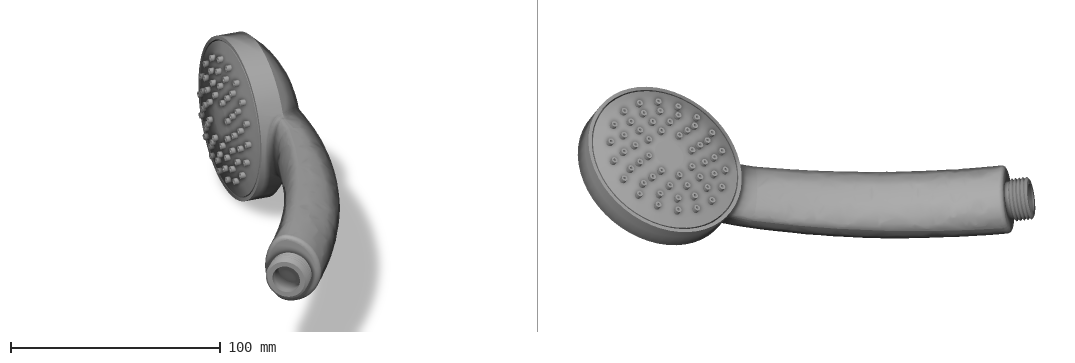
import cadquery as cq
import math

HEAD_DIAMETER = 80.2
HEAD_RADIUS = HEAD_DIAMETER / 2
BAND_HEIGHT = 12.5
DOME_HEIGHT = 19.7
HEAD_HEIGHT = BAND_HEIGHT + DOME_HEIGHT
DOME_SPHERE_RADIUS = (HEAD_RADIUS**2 + DOME_HEIGHT**2) / (2 * DOME_HEIGHT)
DOME_CENTRE_Y = HEAD_HEIGHT - DOME_SPHERE_RADIUS

PLATE_GAP = 0.7
RIM_WALL = 1.7
RECESS_RADIUS = HEAD_RADIUS - RIM_WALL
RECESS_DEPTH = 3.3
PLATE_RADIUS = RECESS_RADIUS - PLATE_GAP
PLATE_SPHERE_RADIUS = 142.1
PLATE_FLAT_RADIUS = 7.5

NOZZLE_RADIUS = 1.5
NOZZLE_HEIGHT = 2.2
NOZZLE_ROOT = 2.2
OUTLET_RADIUS = 0.7
OUTLET_DEPTH = NOZZLE_HEIGHT
NOZZLE_RINGS = [
    (12.2, 8, 0.5),
    (18.1, 12, 0.0),
    (24.0, 16, 0.5),
    (30.0, 18, 0.0),
]

NECK_START = (4.4, 12.0, 0.0, 19.0, 5.7, 14.9)
NECK_MIDDLE = (27.3, 12.0, 0.0, 18.8, 5.7, 15.0)
GRIP_START = (50.0, 10.3, 0.0, 18.1, 6.1, 15.3)
GRIP_MIDDLE = (105.5, -7.2, 18.5, 19.5, 7.5, 16.5)
GRIP_END = (162.7, -36.7, 37.0, 16.5, 11.2, 17.3)
NECK_FILLET = 2.2
GRIP_END_FILLET = 2.0

THREAD_RADIUS = 10.3
THREAD_ROOT_RADIUS = 9.2
THREAD_PITCH = 1.81
THREAD_RIDGES = 5
THREAD_RELIEF = 1.85
STUB_LENGTH = THREAD_RELIEF + THREAD_RIDGES * THREAD_PITCH
STUB_ROOT = 2.2
BORE_RADIUS = 6.8
BORE_DEPTH = STUB_LENGTH


def handle_section(station):
    """Egg-shaped wire: two half ellipses of different height that share their widest line."""
    x, y, tilt, upper, lower, half_width = station
    angle = math.radians(tilt)
    axis = cq.Vector(math.cos(angle), -math.sin(angle), 0)
    plane = cq.Plane(origin=cq.Vector(x, y, 0), xDir=cq.Vector(0, 0, -1), normal=axis)
    return (
        cq.Workplane(plane)
        .moveTo(half_width, 0)
        .ellipseArc(half_width, upper, 0, 180, startAtCurrent=True)
        .ellipseArc(half_width, lower, 180, 360, startAtCurrent=True)
        .close()
        .val()
    )


def loft_handle(*stations):
    return cq.Workplane(cq.Solid.makeLoft([handle_section(station) for station in stations]))


def revolve_about_head(profile):
    return profile.close().revolve(360, (0, 0, 0), (0, 1, 0))


def join_neck(core):
    """Core of the head joined to the neck, with a fillet along the line where they meet."""
    joined = core.union(loft_handle(NECK_START, NECK_MIDDLE, GRIP_START))
    junction = cq.selectors.BoxSelector(
        (NECK_START[0], 2.2, -HEAD_RADIUS),
        (GRIP_START[0] - NECK_FILLET, HEAD_HEIGHT, HEAD_RADIUS),
    )
    return joined.edges(junction).fillet(NECK_FILLET)


def make_head():
    """Cylindrical band below and spherical dome above, each blended into the neck."""
    column_height = 2 * HEAD_HEIGHT
    column = revolve_about_head(
        cq.Workplane("ZY")
        .lineTo(HEAD_RADIUS, 0)
        .lineTo(HEAD_RADIUS, column_height)
        .lineTo(0, column_height)
    )
    ball = revolve_about_head(
        cq.Workplane("ZY")
        .moveTo(0, DOME_CENTRE_Y - DOME_SPHERE_RADIUS)
        .threePointArc((DOME_SPHERE_RADIUS, DOME_CENTRE_Y), (0, HEAD_HEIGHT))
    )
    cutter_size = 4 * column_height
    above_band = cq.Workplane("XZ", origin=(0, BAND_HEIGHT, 0)).rect(cutter_size, cutter_size)
    above_band = above_band.extrude(-cutter_size)
    return join_neck(column).cut(above_band).union(join_neck(ball).intersect(above_band))


def make_grip():
    """Curved grip with a rounded free end."""
    grip = loft_handle(GRIP_START, GRIP_MIDDLE, GRIP_END)
    return grip.faces(">X").edges().fillet(GRIP_END_FILLET)


def stub_workplane():
    """Workplane centred on the grip's end: local X is a radius, local Y the stub axis."""
    x, y, tilt, upper, lower, _ = GRIP_END
    angle = math.radians(tilt)
    rise = (upper - lower) / 2
    centre = cq.Vector(x + rise * math.sin(angle), y + rise * math.cos(angle), 0)
    radial = cq.Vector(0, 0, 1)
    axis = cq.Vector(math.cos(angle), -math.sin(angle), 0)
    return cq.Workplane(cq.Plane(origin=centre, xDir=radial, normal=radial.cross(axis)))


def make_stub():
    """Hose connection with a row of V-shaped thread ridges."""
    profile = stub_workplane().moveTo(0, -STUB_ROOT).lineTo(THREAD_ROOT_RADIUS, -STUB_ROOT)
    for ridge in range(THREAD_RIDGES):
        start = THREAD_RELIEF + ridge * THREAD_PITCH
        profile = profile.lineTo(THREAD_ROOT_RADIUS, start)
        profile = profile.lineTo(THREAD_RADIUS, start + THREAD_PITCH / 2)
    profile = profile.lineTo(THREAD_ROOT_RADIUS, STUB_LENGTH).lineTo(0, STUB_LENGTH)
    return profile.close().revolve(360, (0, 0, 0), (0, 1, 0))


def make_bore():
    """Blind water passage, open at the stub's tip."""
    profile = stub_workplane().moveTo(0, STUB_LENGTH - BORE_DEPTH)
    profile = profile.lineTo(BORE_RADIUS, STUB_LENGTH - BORE_DEPTH)
    profile = profile.lineTo(BORE_RADIUS, STUB_LENGTH).lineTo(0, STUB_LENGTH)
    return profile.close().revolve(360, (0, 0, 0), (0, 1, 0))


def make_housing():
    """Head, handle and hose connection in one piece, with a recess for the spray plate."""
    recess = cq.Workplane("XZ").circle(RECESS_RADIUS).extrude(-RECESS_DEPTH)
    solid = make_head().union(make_grip()).union(make_stub())
    return solid.cut(recess).cut(make_bore())


def plate_bulge(radius):
    """How far the spray face stands out of the rim plane at a distance from the head axis."""
    sphere_centre = math.sqrt(PLATE_SPHERE_RADIUS**2 - PLATE_RADIUS**2)
    return math.sqrt(PLATE_SPHERE_RADIUS**2 - radius**2) - sphere_centre


def make_plate_disc():
    """Bulging disc whose outer edge is level with the rim and whose back sits in the recess."""
    arc_radius = (PLATE_FLAT_RADIUS + PLATE_RADIUS) / 2
    flat_y = -plate_bulge(PLATE_FLAT_RADIUS)
    return revolve_about_head(
        cq.Workplane("ZY")
        .moveTo(0, RECESS_DEPTH)
        .lineTo(PLATE_RADIUS, RECESS_DEPTH)
        .lineTo(PLATE_RADIUS, 0)
        .threePointArc((arc_radius, -plate_bulge(arc_radius)), (PLATE_FLAT_RADIUS, flat_y))
        .lineTo(0, flat_y)
    )


def ring_of_cylinders(ring, radius, depth):
    """Cylinders parallel to the head axis, reaching inward from the nozzle tips by a depth."""
    ring_radius, count, offset = ring
    tip_y = -plate_bulge(ring_radius) - NOZZLE_HEIGHT
    return (
        cq.Workplane("XZ", origin=(0, tip_y, 0))
        .polarArray(ring_radius, offset * 360 / count, 360, count)
        .circle(radius)
        .extrude(-depth)
    )


def make_spray_plate():
    """Bulging disc with rings of nozzles, each with a blind water outlet in its tip."""
    plate = make_plate_disc()
    for ring in NOZZLE_RINGS:
        plate = plate.union(ring_of_cylinders(ring, NOZZLE_RADIUS, NOZZLE_HEIGHT + NOZZLE_ROOT))
        plate = plate.cut(ring_of_cylinders(ring, OUTLET_RADIUS, OUTLET_DEPTH))
    return plate


housing = make_housing()
spray_plate = make_spray_plate()

result = cq.Compound.makeCompound([housing.solids().val(), spray_plate.solids().val()])